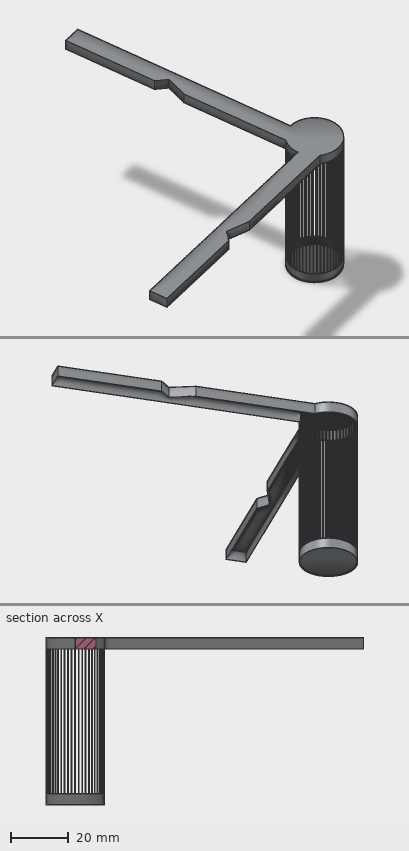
import cadquery as cq

post_diameter = 20.3
post_radius = post_diameter / 2
overall_length = 110.1
overall_height = 58.0
plate_thickness = 4.0
cup_height = plate_thickness

wire_count = 50
wire_diameter = 0.3
wire_circle_radius = post_radius - wire_diameter / 2
wire_embed = 0.1
cup_wall = wire_diameter
cup_floor = wire_diameter

arm_length = overall_length - post_radius
arm_width = 7.3
notch_outer_distance = 37.6
notch_tip_distance = 41.2
notch_inner_distance = 50.0
notch_depth = 3.4

plate_bottom = overall_height - plate_thickness


def make_arm():
    """Arm along -X with its notch in the -Y edge."""
    return (
        cq.Workplane("XY", origin=(0, 0, plate_bottom))
        .moveTo(0, 0)
        .lineTo(-arm_length, 0)
        .lineTo(-arm_length, -arm_width)
        .lineTo(notch_outer_distance - arm_length, -arm_width)
        .lineTo(notch_tip_distance - arm_length, notch_depth - arm_width)
        .lineTo(notch_inner_distance - arm_length, -arm_width)
        .lineTo(0, -arm_width)
        .close()
        .extrude(plate_thickness)
    )


def make_plate():
    """Round hub with two matching arms at right angles."""
    hub = cq.Workplane("XY", origin=(0, 0, plate_bottom)).circle(post_radius).extrude(plate_thickness)
    side_arm = make_arm()
    front_arm = side_arm.rotate((0, 0, 0), (0, 0, 1), 90)
    return hub.union(side_arm).union(front_arm)


def make_cup():
    """Shallow thin-walled cup, open at the top."""
    body = cq.Workplane("XY").circle(post_radius).extrude(cup_height)
    hollow = (
        cq.Workplane("XY", origin=(0, 0, cup_floor))
        .circle(post_radius - cup_wall)
        .extrude(cup_height)
    )
    return body.cut(hollow)


def make_wires():
    """Ring of wires joining the cup rim to the plate."""
    return (
        cq.Workplane("XY", origin=(0, 0, cup_height - wire_embed))
        .polarArray(wire_circle_radius, 0, 360, wire_count)
        .circle(wire_diameter / 2)
        .extrude(plate_bottom - cup_height + 2 * wire_embed)
    )


result = make_plate().union(make_wires()).union(make_cup())